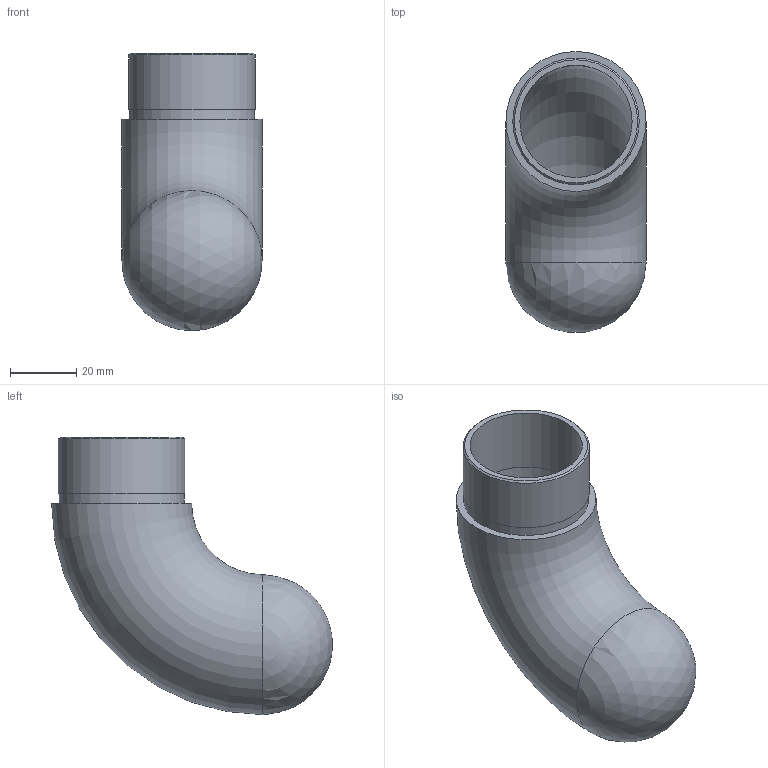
import cadquery as cq

tube_diameter = 42.4
bore_diameter = 34.0
bend_radius = 42.8
bend_angle = 90.0
dome_angle = 180.0

spigot_diameter = 38.3
spigot_length = 20.0
relief_diameter = 37.9
relief_length = 3.0
spigot_chamfer = 0.5

tube_radius = tube_diameter / 2


def bend(diameter):
    """Round bar turned from the shoulder plane Z = 0 down and round towards -Y."""
    return (
        cq.Workplane("XY")
        .circle(diameter / 2)
        .revolve(bend_angle, (1, -bend_radius, 0), (0, -bend_radius, 0))
    )


def end_dome():
    """Hemisphere closing the lower end of the bend, facing -Y: a half disc turned half a turn."""
    return (
        cq.Workplane("XZ")
        .moveTo(-tube_radius, 0)
        .threePointArc((0, tube_radius), (tube_radius, 0))
        .close()
        .revolve(dome_angle, (0, 0, 0), (1, 0, 0))
        .translate((0, -bend_radius, -bend_radius))
    )


def spigot():
    """Relief groove above the shoulder, then the full spigot with a chamfered rim."""
    relief = cq.Workplane("XY").circle(relief_diameter / 2).extrude(relief_length)
    sleeve = (
        cq.Workplane("XY", origin=(0, 0, relief_length))
        .circle(spigot_diameter / 2)
        .extrude(spigot_length - relief_length)
        .faces(">Z")
        .chamfer(spigot_chamfer)
    )
    return relief.union(sleeve)


def bore():
    """Passage through the spigot and the bend, ending flat at the dome."""
    spigot_bore = cq.Workplane("XY").circle(bore_diameter / 2).extrude(spigot_length)
    return spigot_bore.union(bend(bore_diameter))


result = bend(tube_diameter).union(end_dome()).union(spigot()).cut(bore())